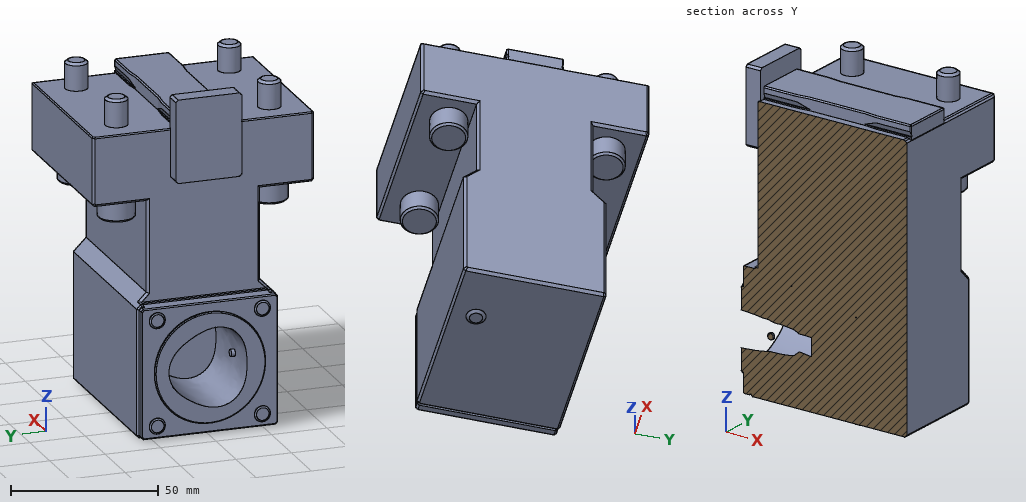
import cadquery as cq
import math


body_length = 62.1
body_bottom = 0.7
block_half_width = 25.0
block_side_top = 47.0
column_half_width = 20.4
column_foot = block_side_top + block_half_width - column_half_width
flange_half_width = 40.0
flange_bottom = 84.6
flange_top = 109.6
edge_chamfer = 0.9
back_chamfer = 1.0
fine_chamfer = 0.43

ledge_length = 3.2
ledge_top = 48.5
plate_thickness = 2.9
plate_inset = 0.4
plate_half_width = block_half_width - plate_inset
plate_bottom = body_bottom + plate_inset
plate_step = 0.5
plate_top = ledge_top - plate_step
plate_face = -ledge_length - plate_thickness
tongue_length = 2.0
tongue_half_width = 22.6

bore_height = 24.5
bore_depth = 29.2
bore_mean_radius = 14.1
bore_lobe = 0.91
bore_taper = 1 / 40
bore_points = 48
ring_diameter = 40.0
ring_face = -6.9
ring_chamfer = 0.4
screw_diameter = 5.7
screw_tip_diameter = 4.5
screw_spacing = 37.9
screw_face = -6.6
index_pin_diameter = 2.5
index_pin_depth = 12.2
index_pin_tip = -11.5
index_pin_length = 4.9

rail_half_width = 10.0
rail_top = 114.4
rail_chamfer = 0.5
rail_recess = 0.6
recess_length = 22.8
recess_run = 5.1
undercut_top = 111.9
rail_foot_height = 0.5
undercut_bottom = flange_top + rail_foot_height

key_length = 5.2
key_half_width = 11.9
key_bottom = 91.5
key_top = 121.5

bolt_diameter = 8.0
bolt_tip_diameter = 6.0
bolt_top = 119.6
bolt_tip_height = 0.9
bolt_head_diameter = 13.0
bolt_head_bottom = 76.3
bolt_head_chamfer = 0.7
bolt_first_x = 10.9
bolt_pitch_x = 40.1
bolt_half_pitch_y = 27.6

plug_diameter = 6.8
plug_tip_diameter = 4.5
plug_x = 41.4
plug_y = -15.5


def box(x0, x1, y0, y1, z0, z1):
    return cq.Workplane("XY").box(x1 - x0, y1 - y0, z1 - z0, centered=False).translate((x0, y0, z0))


def stepped_bar(plane, points):
    """Turn a (radius, axial) outline around the axial direction of the plane."""
    return cq.Workplane(plane).polyline(points).close().revolve(360, (0, 0), (0, 1))


def make_body():
    half = [
        (block_half_width, body_bottom),
        (block_half_width, block_side_top),
        (column_half_width, column_foot),
        (column_half_width, flange_bottom),
        (flange_half_width, flange_bottom),
        (flange_half_width, flange_top),
    ]
    outline = half + [(-y, z) for y, z in reversed(half)]
    body = cq.Workplane("YZ").polyline(outline).close().extrude(body_length)
    body = body.edges("|X and <Z").chamfer(edge_chamfer)
    for side in (-1, 1):
        lower_edge = cq.selectors.NearestToPointSelector(
            (body_length / 2, side * flange_half_width, flange_bottom)
        )
        body = body.edges(lower_edge).chamfer(edge_chamfer)
    body = body.faces(">X").edges().chamfer(back_chamfer)
    body = body.faces("<X").edges("not >Z").chamfer(edge_chamfer)
    return body.faces(">Z").edges().chamfer(fine_chamfer)


def make_ledge():
    base_half_width = block_half_width - (ledge_top - block_side_top)
    half = [
        (block_half_width, body_bottom),
        (block_half_width, block_side_top),
        (base_half_width, ledge_top),
    ]
    outline = half + [(-y, z) for y, z in reversed(half)]
    ledge = cq.Workplane("YZ").polyline(outline).close().extrude(ledge_length + back_chamfer)
    ledge = ledge.translate((-ledge_length, 0, 0))
    ledge = ledge.edges("|X and <Z").chamfer(edge_chamfer)
    ledge = ledge.faces("<X").edges().chamfer(edge_chamfer)
    tongue_end = tongue_length - ledge_length
    slot = box(-ledge_length, tongue_end, -tongue_half_width, tongue_half_width, plate_top, ledge_top)
    tongue = box(
        plate_face + edge_chamfer, tongue_end,
        -tongue_half_width, tongue_half_width,
        plate_top - edge_chamfer, plate_top,
    )
    return ledge.cut(slot).union(tongue)


def make_plate():
    plate = box(
        plate_face, -ledge_length,
        -plate_half_width, plate_half_width,
        plate_bottom, plate_top,
    )
    plate = plate.edges("|X").chamfer(edge_chamfer)
    plate = plate.faces("<X or >X").edges().chamfer(fine_chamfer)
    ring_length = plate_face + plate_thickness - ring_face
    ring = cq.Workplane("YZ").workplane(offset=ring_face).center(0, bore_height)
    ring = ring.circle(ring_diameter / 2).extrude(ring_length)
    plate = plate.union(ring.faces("<X").chamfer(ring_chamfer))
    screw_length = plate_face + plate_thickness - screw_face
    screw_chamfer = (screw_diameter - screw_tip_diameter) / 2
    screws = (
        cq.Workplane("YZ").workplane(offset=screw_face).center(0, bore_height)
        .rect(screw_spacing, screw_spacing, forConstruction=True).vertices()
        .circle(screw_diameter / 2).extrude(screw_length)
        .faces("<X").chamfer((plate_face - screw_face) / 2, screw_chamfer)
    )
    return plate.union(screws)


def bore_outline(offset):
    """Three-lobed outline, one lobe pointing to +Y."""
    points = []
    for i in range(bore_points):
        angle = 2 * math.pi * i / bore_points
        radius = bore_mean_radius - offset + bore_lobe * math.cos(3 * angle)
        points.append((radius * math.cos(angle), radius * math.sin(angle)))
    return points


def make_bore():
    return (
        cq.Workplane("YZ").workplane(offset=ring_face).center(0, bore_height)
        .spline(bore_outline(0), periodic=True).close()
        .workplane(offset=bore_depth)
        .spline(bore_outline(bore_depth * bore_taper), periodic=True).close()
        .loft(ruled=True)
    )


def make_index_pin():
    pin = cq.Workplane("XZ").circle(index_pin_diameter / 2).extrude(index_pin_length)
    return pin.translate((ring_face + index_pin_depth, index_pin_tip, bore_height))


def make_rail():
    centre = body_length / 2
    rail = box(0, body_length, -rail_half_width, rail_half_width, flange_top - edge_chamfer, rail_top)
    rail = rail.edges("|Z").chamfer(fine_chamfer)
    waist = rail_half_width - rail_recess
    recess_end = recess_length / 2 + recess_run
    for side in (-1, 1):
        undercut = (
            cq.Workplane("YZ")
            .polyline([
                (side * rail_half_width, undercut_top),
                (side * waist, undercut_bottom),
                (side * rail_half_width, undercut_bottom),
            ])
            .close().extrude(body_length)
        )
        recess = (
            cq.Workplane("XY").workplane(offset=flange_top)
            .polyline([
                (centre - recess_end, side * rail_half_width),
                (centre - recess_length / 2, side * waist),
                (centre + recess_length / 2, side * waist),
                (centre + recess_end, side * rail_half_width),
            ])
            .close().extrude(rail_top - flange_top)
        )
        rail = rail.cut(undercut).cut(recess)
    return rail.faces(">Z").edges().chamfer(rail_chamfer)


def make_key():
    key = box(-key_length, edge_chamfer, -key_half_width, key_half_width, key_bottom, key_top)
    return key.edges("|X").chamfer(edge_chamfer)


def make_bolt():
    radius = bolt_diameter / 2
    head_radius = bolt_head_diameter / 2
    return stepped_bar("XZ", [
        (0, bolt_head_bottom),
        (head_radius - bolt_head_chamfer, bolt_head_bottom),
        (head_radius, bolt_head_bottom + bolt_head_chamfer),
        (head_radius, flange_bottom),
        (radius, flange_bottom),
        (radius, bolt_top - bolt_tip_height),
        (bolt_tip_diameter / 2, bolt_top),
        (0, bolt_top),
    ])


def make_plug():
    return stepped_bar("XZ", [
        (0, 0),
        (plug_tip_diameter / 2, 0),
        (plug_diameter / 2, body_bottom),
        (plug_diameter / 2, body_bottom + edge_chamfer),
        (0, body_bottom + edge_chamfer),
    ]).translate((plug_x, plug_y, 0))


result = make_body().union(make_ledge()).union(make_plate()).cut(make_bore())
for feature in (make_index_pin(), make_rail(), make_key(), make_plug()):
    result = result.union(feature)
for bolt_x in (bolt_first_x, bolt_first_x + bolt_pitch_x):
    for bolt_y in (-bolt_half_pitch_y, bolt_half_pitch_y):
        result = result.union(make_bolt().translate((bolt_x, bolt_y, 0)))